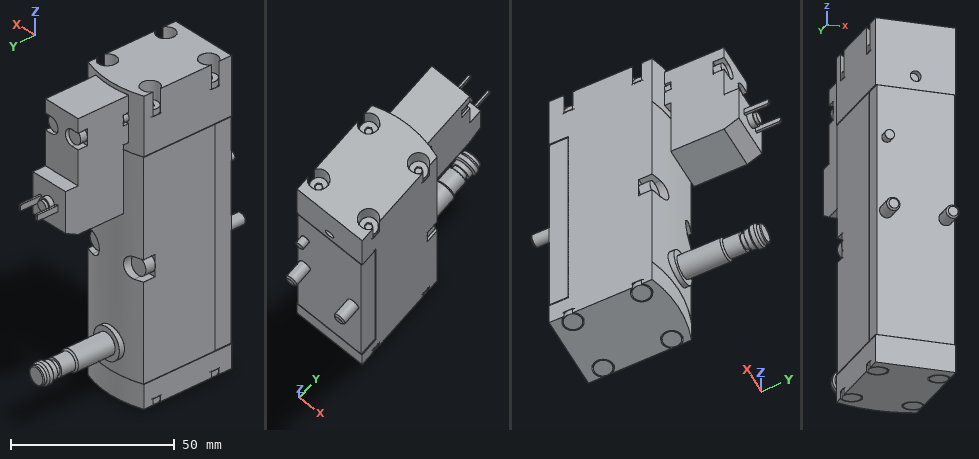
import cadquery as cq

HEIGHT = 113.1
CAP_WIDTH = 26.0
BODY_LEFT = -12.8
BODY_BASE_WIDTH = 25.3
BODY_BASE_DEPTH = 6.7
CAP_FRONT = 0.1
SIDE_DEPTH = 35.6
CROWN_DEPTH = 37.9
BOTTOM_CAP_TOP = 9.0
TOP_CAP_BOTTOM = 91.0

CAP_SCREW_X = 10.0
CAP_SCREW_Y = (6.8, 30.4)
CAP_BORE_DIAMETER = 6.8
CAP_BORE_DEPTH_TOP = 8.9
CAP_HEAD_DIAMETER = 6.0
CAP_HEAD_HEIGHT = 2.3
CAP_BORE_DEPTH_BOTTOM = CAP_HEAD_HEIGHT
HEX_SOCKET_DIAMETER = 2.6
HEX_SOCKET_DEPTH = 1.1
HEX_SOCKET_TURN = 30

VENT_DIAMETER = 3.4
VENT_DEPTH = 2.3
VENT_Z = 95.6

MOUNT_SCREW_X = 9.6
MOUNT_SCREW_Z = 49.9
MOUNT_SHANK_DIAMETER = 4.3
MOUNT_SHANK_LENGTH = 7.0
MOUNT_TIP_CHAMFER = 0.6
MOUNT_HEAD_DIAMETER = 6.8
MOUNT_HEAD_HEIGHT = 3.8
MOUNT_SLOT_WIDTH = 8.0
MOUNT_SLOT_FLOOR = 31.0

PIN_DIAMETER = 3.0
PIN_X = -9.5
PIN_LENGTH = 2.9
PIN_Z = 74.1

PILOT_WIDTH = 15.3
PILOT_TOP = 111.5
PILOT_FOOT_BOTTOM = 94.4
PILOT_BOTTOM = 69.7
PILOT_STEP_Z = 87.3
PILOT_CHAMFER_Z = 72.2
PILOT_FRONT = 39.2
PILOT_MID_BACK = 57.6
PILOT_BACK = 62.7

PILOT_SCREW_Z = 103.3
PILOT_SCREW_X = 4.8
PILOT_SLOT_WIDTH = 6.0
PILOT_SLOT_FLOOR = 53.7
PILOT_HEAD_DIAMETER = 5.5
PILOT_HEAD_HEIGHT = 2.7
PILOT_SPIGOT_X = 5.9
PILOT_SPIGOT_DIAMETER = 3.8

CONTACT_Z = 79.6
BLADE_X = 3.8
BLADE_THICKNESS = 0.8
BLADE_WIDTH = 2.3
BLADE_END = 71.1
BLADE_TIP_CHAMFER = 0.3
BOSS_STEPS = ((5.0, 64.6), (3.8, 65.6))

CONNECTOR_Z = 19.2
FLANGE_DIAMETER = 12.0
SLEEVE_DIAMETER = 8.0
PLUG_DIAMETER = 6.8
GROOVE_DIAMETER = 5.2
FLANGE_BACK = 39.5
SLEEVE_END = 54.3
SLEEVE_TAPER_END = 54.9
GROOVE_START = 60.5
GROOVE_END = 62.1
RING_START = 63.8
RING_FULL_START = 64.4
RING_FULL_END = 65.8
RING_END = 66.5
CONNECTOR_END = 67.9
CONNECTOR_CHAMFER = 0.3

OVERLAP = 1.1


def box(x0, x1, y0, y1, z0, z1):
    """Box between two opposite corners."""
    return cq.Workplane("XY").box(x1 - x0, y1 - y0, z1 - z0, centered=False).translate((x0, y0, z0))


def rod_y(x, z, diameter, y0, y1):
    """Cylinder along Y from y0 to y1."""
    return cq.Workplane("XZ", origin=(x, y0, z)).circle(diameter / 2).extrude(y0 - y1)


def rod_z(x, y, diameter, z0, z1):
    """Cylinder along Z from z0 to z1."""
    return cq.Workplane("XY", origin=(x, y, z0)).circle(diameter / 2).extrude(z1 - z0)


def crowned_block(left, right, front, z0, z1):
    """Vertical block with a flat front and an arched back."""
    middle = (left + right) / 2
    return (
        cq.Workplane("XY", origin=(0, 0, z0))
        .moveTo(left, front)
        .lineTo(right, front)
        .lineTo(right, SIDE_DEPTH)
        .threePointArc((middle, CROWN_DEPTH), (left, SIDE_DEPTH))
        .close()
        .extrude(z1 - z0)
    )


def make_cap(z0, z1):
    """End cap, slightly set back from the front of the body."""
    return crowned_block(-CAP_WIDTH / 2, CAP_WIDTH / 2, CAP_FRONT, z0, z1)


def make_main_body():
    """Crowned body flush with the caps on the right, standing on a narrower front strip."""
    base_half = BODY_BASE_WIDTH / 2
    base = box(-base_half, base_half, 0, BODY_BASE_DEPTH, BOTTOM_CAP_TOP, TOP_CAP_BOTTOM)
    body = crowned_block(BODY_LEFT, CAP_WIDTH / 2, BODY_BASE_DEPTH, BOTTOM_CAP_TOP, TOP_CAP_BOTTOM)
    return body.union(base)


def side_slot(side, x, z, width, y0, y1, outer_x):
    """Slot with a round inner end at side * x, running sideways out to side * outer_x."""
    near, far = sorted((side * x, side * outer_x))
    channel = box(near, far, y0, y1, z - width / 2, z + width / 2)
    return rod_y(side * x, z, width, y0, y1).union(channel)


def add_cap_screws(part):
    """Counterbore both end faces and seat a screw head on the floor of each bore."""
    upper_floor = HEIGHT - CAP_BORE_DEPTH_TOP
    upper_head_top = upper_floor + CAP_HEAD_HEIGHT
    for side in (-1, 1):
        for y in CAP_SCREW_Y:
            x = side * CAP_SCREW_X
            upper_bore = rod_z(x, y, CAP_BORE_DIAMETER, upper_floor, HEIGHT)
            lower_bore = rod_z(x, y, CAP_BORE_DIAMETER, 0, CAP_BORE_DEPTH_BOTTOM)
            upper_head = rod_z(x, y, CAP_HEAD_DIAMETER, upper_floor, upper_head_top)
            lower_head = rod_z(x, y, CAP_HEAD_DIAMETER, 0, CAP_HEAD_HEIGHT)
            socket = (
                cq.Workplane("XY", origin=(x, y, upper_head_top))
                .transformed(rotate=(0, 0, HEX_SOCKET_TURN))
                .polygon(6, HEX_SOCKET_DIAMETER)
                .extrude(-HEX_SOCKET_DEPTH)
            )
            part = part.cut(upper_bore).cut(lower_bore)
            part = part.union(upper_head.cut(socket)).union(lower_head)
    return part


def add_mounting_screws(part):
    """Slots in the back corners of the body, with screw heads inside and shanks out of the front."""
    for side in (-1, 1):
        x = side * MOUNT_SCREW_X
        slot = side_slot(
            side, MOUNT_SCREW_X, MOUNT_SCREW_Z, MOUNT_SLOT_WIDTH, MOUNT_SLOT_FLOOR, CROWN_DEPTH, CAP_WIDTH
        )
        part = part.cut(slot)
        head_back = MOUNT_SLOT_FLOOR + MOUNT_HEAD_HEIGHT
        head = rod_y(x, MOUNT_SCREW_Z, MOUNT_HEAD_DIAMETER, MOUNT_SLOT_FLOOR, head_back)
        shank = rod_y(x, MOUNT_SCREW_Z, MOUNT_SHANK_DIAMETER, -MOUNT_SHANK_LENGTH, OVERLAP)
        shank = shank.faces("<Y").chamfer(MOUNT_TIP_CHAMFER)
        part = part.union(head).union(shank)
    return part


def make_pilot():
    """Stepped solenoid housing with its screws and spigots."""
    half = PILOT_WIDTH / 2
    foot_front = SIDE_DEPTH - OVERLAP
    outline = [
        (foot_front, PILOT_TOP),
        (PILOT_MID_BACK, PILOT_TOP),
        (PILOT_MID_BACK, PILOT_STEP_Z),
        (PILOT_BACK, PILOT_STEP_Z),
        (PILOT_BACK, PILOT_CHAMFER_Z),
        (PILOT_MID_BACK, PILOT_BOTTOM),
        (PILOT_FRONT, PILOT_BOTTOM),
        (PILOT_FRONT, PILOT_FOOT_BOTTOM),
        (foot_front, PILOT_FOOT_BOTTOM),
    ]
    pilot = cq.Workplane("YZ").polyline(outline).close().extrude(half, both=True)
    for side in (-1, 1):
        slot = side_slot(
            side, PILOT_SCREW_X, PILOT_SCREW_Z, PILOT_SLOT_WIDTH, PILOT_SLOT_FLOOR, PILOT_MID_BACK, PILOT_WIDTH
        )
        head_back = PILOT_SLOT_FLOOR + PILOT_HEAD_HEIGHT
        screw_x = side * PILOT_SCREW_X
        head = rod_y(screw_x, PILOT_SCREW_Z, PILOT_HEAD_DIAMETER, PILOT_SLOT_FLOOR, head_back)
        pocket = side_slot(
            side, PILOT_SPIGOT_X, PILOT_SCREW_Z, PILOT_SPIGOT_DIAMETER, foot_front, PILOT_FRONT, PILOT_WIDTH
        )
        spigot_x = side * PILOT_SPIGOT_X
        spigot = rod_y(spigot_x, PILOT_SCREW_Z, PILOT_SPIGOT_DIAMETER, foot_front, PILOT_FRONT)
        pilot = pilot.cut(slot).cut(pocket).union(head).union(spigot)
    return pilot


def make_contacts():
    """Two flat blades either side of a stepped round boss."""
    root = PILOT_BACK - OVERLAP
    contacts = cq.Workplane("XY")
    for diameter, end in BOSS_STEPS:
        contacts = contacts.union(rod_y(0, CONTACT_Z, diameter, root, end))
    for side in (-1, 1):
        blade = (
            box(-BLADE_THICKNESS / 2, BLADE_THICKNESS / 2, root, BLADE_END, -BLADE_WIDTH / 2, BLADE_WIDTH / 2)
            .edges(">Y and |X")
            .chamfer(BLADE_TIP_CHAMFER)
            .translate((side * BLADE_X, 0, CONTACT_Z))
        )
        contacts = contacts.union(blade)
    return contacts


def make_connector():
    """Turned connector, revolved about its own Y axis."""
    flange = FLANGE_DIAMETER / 2
    sleeve = SLEEVE_DIAMETER / 2
    plug = PLUG_DIAMETER / 2
    groove = GROOVE_DIAMETER / 2
    root = SIDE_DEPTH - OVERLAP
    profile = [
        (0, root),
        (flange, root),
        (flange, FLANGE_BACK),
        (sleeve, FLANGE_BACK),
        (sleeve, SLEEVE_END),
        (plug, SLEEVE_TAPER_END),
        (plug, GROOVE_START),
        (groove, GROOVE_START),
        (groove, GROOVE_END),
        (plug, GROOVE_END),
        (plug, RING_START),
        (sleeve, RING_FULL_START),
        (sleeve, RING_FULL_END),
        (plug, RING_END),
        (plug, CONNECTOR_END - CONNECTOR_CHAMFER),
        (plug - CONNECTOR_CHAMFER, CONNECTOR_END),
        (0, CONNECTOR_END),
    ]
    turned = cq.Workplane("XY").polyline(profile).close().revolve(360, (0, 0, 0), (0, 1, 0))
    return turned.translate((0, 0, CONNECTOR_Z))


bottom_cap = make_cap(0, BOTTOM_CAP_TOP)
main_body = make_main_body()
top_cap = make_cap(TOP_CAP_BOTTOM, HEIGHT)

result = bottom_cap.union(main_body).union(top_cap)
result = add_cap_screws(result)
result = result.cut(rod_y(0, VENT_Z, VENT_DIAMETER, 0, VENT_DEPTH))
result = add_mounting_screws(result)
result = result.union(rod_y(PIN_X, PIN_Z, PIN_DIAMETER, -PIN_LENGTH, OVERLAP))
result = result.union(make_pilot()).union(make_contacts()).union(make_connector())